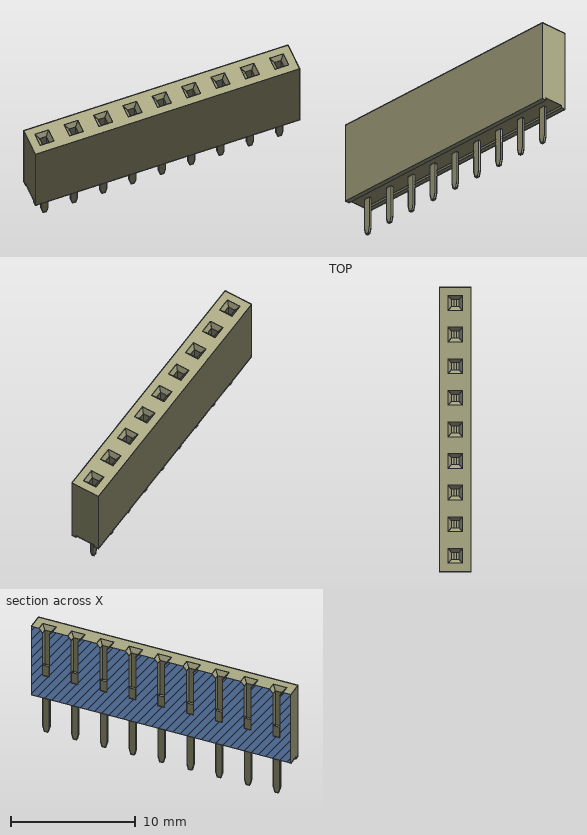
import cadquery as cq

pin_count = 9
housing_length = 22.85
pitch = 2.54
housing_width = 2.54
housing_height = 7.05

channel_width = 1.74
channel_depth = 0.2

entry_size = 1.2
socket_width = 0.62
socket_length = 0.57
funnel_depth = 0.4
socket_depth = 4.57

overall_height = 10.1
pin_thickness = 0.2
pin_width = 0.57
tip_width = 0.3
tip_height = 0.5
pin_rise = 1.0

pin_bottom = housing_height - overall_height
socket_floor = housing_height - socket_depth
pin_top = socket_floor + pin_rise
pin_centres = [(i - (pin_count - 1) / 2) * pitch for i in range(pin_count)]


def make_housing():
    block = cq.Workplane("XY").rect(housing_width, housing_length).extrude(housing_height)
    channel = cq.Workplane("XY").rect(channel_width, housing_length).extrude(channel_depth)
    return block.cut(channel)


def make_entry(y):
    funnel = (
        cq.Workplane("XY", origin=(0, y, housing_height))
        .rect(entry_size, entry_size)
        .workplane(offset=-funnel_depth)
        .rect(socket_width, socket_length)
        .loft(ruled=True)
    )
    socket = (
        cq.Workplane("XY", origin=(0, y, socket_floor))
        .rect(socket_width, socket_length)
        .extrude(socket_depth - funnel_depth)
    )
    return funnel.union(socket)


def make_pin(y):
    half_width = pin_width / 2
    half_tip = tip_width / 2
    shoulder = pin_bottom + tip_height
    return (
        cq.Workplane("YZ", origin=(0, y, 0))
        .polyline([
            (-half_width, pin_top),
            (-half_width, shoulder),
            (-half_tip, pin_bottom),
            (half_tip, pin_bottom),
            (half_width, shoulder),
            (half_width, pin_top),
        ])
        .close()
        .extrude(pin_thickness / 2, both=True)
    )


result = make_housing()
for y in pin_centres:
    result = result.cut(make_entry(y)).union(make_pin(y))